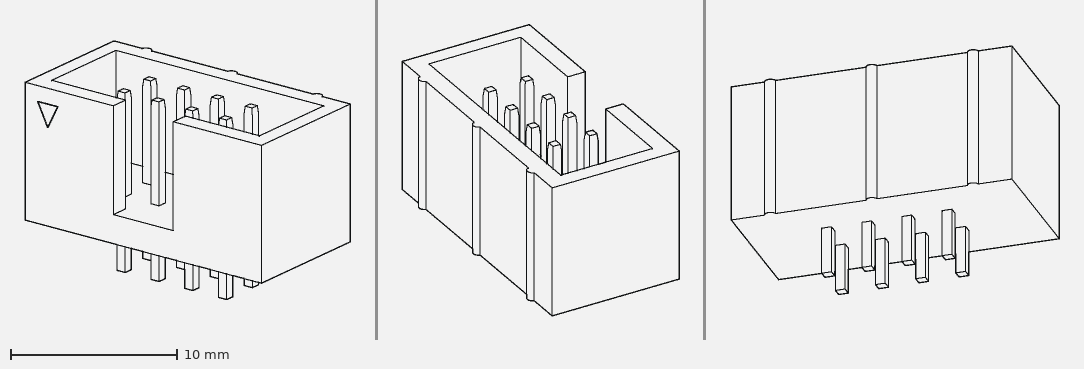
import cadquery as cq

body_length = 17.82
body_depth = 8.85
body_height = 8.85

cavity_length = 15.66
cavity_depth = 6.4
floor_thickness = 1.87
slot_width = 4.5

pin_columns = 4
pin_rows = 2
pin_pitch = 2.55
pin_width = 0.62
pin_tail = 3.0
pin_recess = 0.34
tip_height = 0.5
tip_width = 0.52

rib_pitch = 6.43
rib_width = 0.7
rib_height = 0.27

marker_size = 1.5
marker_margin = 1.0
marker_relief = 0.07

front_y = -body_depth / 2
back_y = body_depth / 2


def make_housing():
    """Box hollowed from above, with a key slot through the front wall."""
    housing = cq.Workplane("XY").box(body_length, body_depth, body_height, centered=(True, True, False))
    inner_height = body_height - floor_thickness
    floor = cq.Workplane("XY").workplane(offset=floor_thickness)
    cavity = floor.rect(cavity_length, cavity_depth).extrude(inner_height)
    slot = floor.center(0, front_y / 2).rect(slot_width, body_depth / 2).extrude(inner_height)
    return housing.cut(cavity).cut(slot)


def make_pins():
    """Square pins through the floor, each with a tapered upper tip."""
    shoulder_z = body_height - pin_recess - tip_height
    tail = cq.Workplane("XY").workplane(offset=-pin_tail)
    shoulder = cq.Workplane("XY").workplane(offset=shoulder_z)
    places = [
        ((column - (pin_columns - 1) / 2) * pin_pitch, (row - (pin_rows - 1) / 2) * pin_pitch)
        for column in range(pin_columns)
        for row in range(pin_rows)
    ]
    shafts = tail.pushPoints(places).rect(pin_width, pin_width).extrude(shoulder_z + pin_tail)
    tip = (
        shoulder.rect(pin_width, pin_width)
        .workplane(offset=tip_height)
        .rect(tip_width, tip_width)
        .loft()
    )
    for x, y in places:
        shafts = shafts.union(tip.translate((x, y, 0)))
    return shafts


def make_ribs():
    """Full-height ribs with an arc profile, standing out from the back face."""
    rib = (
        cq.Workplane("XY")
        .moveTo(-rib_width / 2, back_y)
        .threePointArc((0, back_y + rib_height), (rib_width / 2, back_y))
        .close()
        .extrude(body_height)
    )
    ribs = rib
    for x in (-rib_pitch, rib_pitch):
        ribs = ribs.union(rib.translate((x, 0, 0)))
    return ribs


def make_marker():
    """Thin triangle pointing down, near the upper left corner of the front face."""
    left = -body_length / 2 + marker_margin
    top = body_height - marker_margin
    return (
        cq.Workplane("XZ", origin=(0, front_y, 0))
        .moveTo(left, top)
        .lineTo(left + marker_size, top)
        .lineTo(left + marker_size / 2, top - marker_size)
        .close()
        .extrude(marker_relief)
    )


result = make_housing().union(make_pins()).union(make_ribs()).union(make_marker())